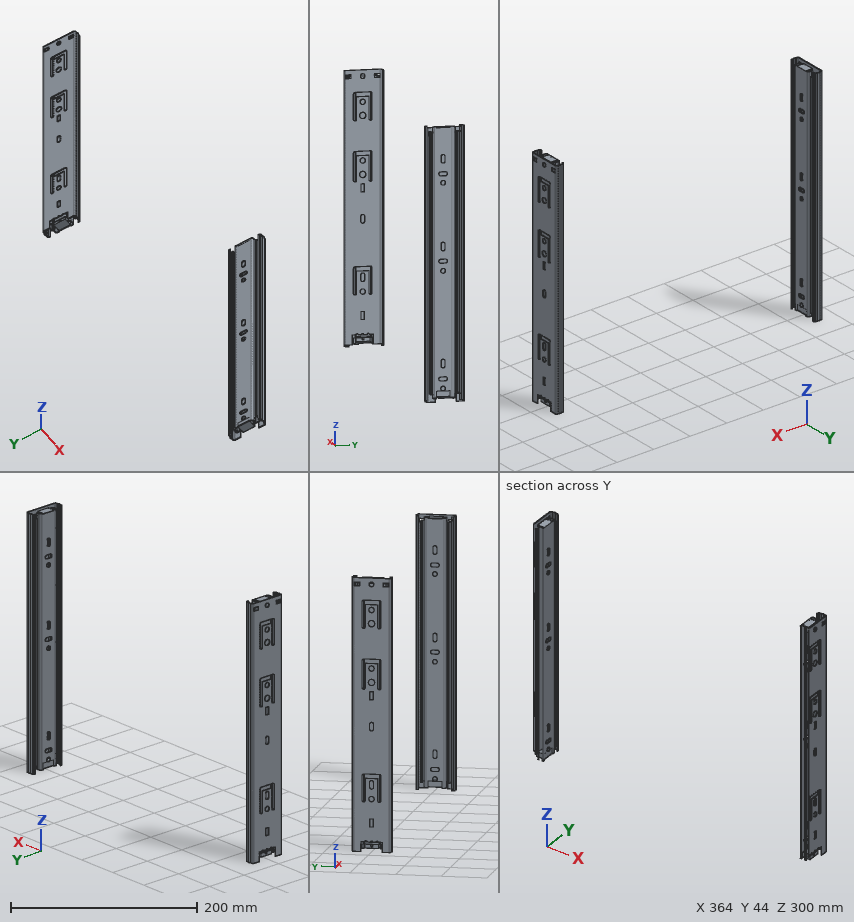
import cadquery as cq
import math


PAIR_WIDTH = 364.0
SLIDE_LENGTH = 300.0
SLIDE_HEIGHT = 44.0
SLIDE_DEPTH = 12.7
SHEET = 1.2
TOP = SLIDE_LENGTH / 2
BOTTOM = -TOP

ARC_MIDDLE = 1 - math.sqrt(0.5)

RACE_RISE = 0.7
OUTER_ARM_Y = SLIDE_HEIGHT / 2 - RACE_RISE
OUTER_CORNER_RADIUS = 2.0
RACE_START, RACE_END = 3.5, 7.0
OUTER_LIP_DEPTH = 11.3
LIP_CHAMFER = 1.5
LIP_HEIGHT = 3.3
LIP_END_Y = OUTER_ARM_Y - LIP_HEIGHT
LIP_TAPER = 0.7

TONGUE_CUT_WIDTH = 20.7
TONGUE_WIDTH = 14.0
TONGUE_TOP_GAP = 4.7
TONGUE_CORNER_RADIUS = 2.2
LEG_ROUNDING = 0.48
TONGUE_HOLE = 6.0
PEG_HOLE = 7.0
SCREW_HOLE = 5.0
SCREW_HOLE_Z = 143.0
OBROUND_WIDTH = 4.5
OBROUND_LENGTH = 9.5
UPRIGHT, CROSSWISE = 90, 0
WINDOW_WIDTH, WINDOW_LENGTH = 3.5, 8.7
WINDOW_HEIGHTS = (21.0, -118.3)
MID_OBROUND_Z = -12.7
UPPER_TONGUE = (125.5, 94.5, 115.0, 100.0)
MIDDLE_TONGUE = (61.0, 28.0, 51.0, 35.5)
LOWER_TONGUE = (-64.8, -95.5, -76.5, -92.0)
SIDE_SLOT_Y = 16.0
SIDE_SLOT_WIDTH, SIDE_SLOT_LENGTH = 6.2, 4.0
END_NOTCH_WIDTH = 23.3
END_NOTCH_TOP = -139.0
SCALLOP_RADIUS = 1.0
SCALLOP_SPACING = 6.2

MID_BACK = 2.0
MID_ARM_Y = 16.5
MID_CORNER_RADIUS = 1.0
MID_LIP_DEPTH = 11.3
MID_LIP_END_Y = 14.2
JOG_INNER_Y, JOG_OUTER_Y = 8.0, 9.0
MID_TOP = 143.8
MID_BOTTOM = -142.0

INNER_ARM_Y = 12.0
INNER_CORNER_RADIUS = 2.2
INNER_ARM_BACK = 6.2
INNER_TIP_BACK = 5.0
INNER_TIP_Y = 9.0
INNER_TOP = 148.5
INNER_BOTTOM = -147.5
TAB_BACK = 3.45
TAB_WIDTH = 15.3
INNER_NOTCH_LENGTH = 1.0
INNER_HOLE = 5.0
HOLE_GROUPS = ((113.2, 97.0, 87.0), (17.5, 1.5, -9.0), (-110.3, -127.0, -137.5))

BLOCK_WIDTH = 15.3
BLOCK_TOP = -140.0
BLOCK_BOTTOM = -146.5
LATCH_HOLE = 2.2
LATCH_HOLE_Z = -143.5


def extruded_section(half_outline, bottom, top):
    """Mirror an open half outline, which starts and ends on Y = 0, and extrude it."""
    return half_outline.mirrorX().extrude(top - bottom)


def section_plane(bottom):
    return cq.Workplane("XY", origin=(-PAIR_WIDTH / 2, 0, bottom))


def web_plane(depth):
    """Plane facing +X on the back face of a web: local x is Y and local y is Z."""
    return cq.Workplane("YZ", origin=(-PAIR_WIDTH / 2 + depth, 0, 0))


def round_hole(depth, z, diameter):
    return web_plane(depth).center(0, z).circle(diameter / 2).extrude(SHEET)


def obround(depth, z, angle):
    return web_plane(depth).center(0, z).slot2D(OBROUND_LENGTH, OBROUND_WIDTH, angle).extrude(SHEET)


def window(depth, y, z, width, length):
    return web_plane(depth).center(y, z).rect(width, length).extrude(SHEET)


def tongue_cut(top, bottom):
    """Upside-down U-shaped cut that leaves a tongue joined to the web at its lower end."""
    length = top - bottom
    leg_width = (TONGUE_CUT_WIDTH - TONGUE_WIDTH) / 2
    cut = window(0, 0, (top + bottom) / 2, TONGUE_CUT_WIDTH, length)
    cut = cut.edges("|X and >Z").fillet(TONGUE_CORNER_RADIUS)
    tongue_length = length - TONGUE_TOP_GAP
    cut = cut.cut(window(0, 0, bottom + tongue_length / 2, TONGUE_WIDTH, tongue_length))
    return cut.edges("|X and <Z").fillet(leg_width * LEG_ROUNDING)


def end_notch():
    notch = window(0, 0, (END_NOTCH_TOP + BOTTOM) / 2, END_NOTCH_WIDTH, END_NOTCH_TOP - BOTTOM)
    scallops = (
        web_plane(0)
        .pushPoints([(step * SCALLOP_SPACING, END_NOTCH_TOP) for step in (-1, 0, 1)])
        .circle(SCALLOP_RADIUS)
        .extrude(SHEET)
    )
    return notch.union(scallops)


def make_outer_rail():
    arm_inside = OUTER_ARM_Y - SHEET
    race_middle = (RACE_START + RACE_END) / 2
    race_peak = OUTER_ARM_Y + RACE_RISE
    corner_y = OUTER_ARM_Y - OUTER_CORNER_RADIUS
    inner_radius = OUTER_CORNER_RADIUS - SHEET
    outer_mid = OUTER_CORNER_RADIUS * ARC_MIDDLE
    inner_mid = SHEET + inner_radius * ARC_MIDDLE
    lip_inside = OUTER_LIP_DEPTH - SHEET
    half = (
        section_plane(BOTTOM)
        .lineTo(0, corner_y)
        .threePointArc((outer_mid, OUTER_ARM_Y - outer_mid), (OUTER_CORNER_RADIUS, OUTER_ARM_Y))
        .lineTo(RACE_START, OUTER_ARM_Y)
        .threePointArc((race_middle, race_peak), (RACE_END, OUTER_ARM_Y))
        .lineTo(OUTER_LIP_DEPTH - LIP_CHAMFER, OUTER_ARM_Y)
        .lineTo(OUTER_LIP_DEPTH, OUTER_ARM_Y - LIP_CHAMFER)
        .lineTo(OUTER_LIP_DEPTH, LIP_END_Y)
        .lineTo(lip_inside + LIP_TAPER, LIP_END_Y)
        .lineTo(lip_inside, arm_inside)
        .lineTo(RACE_END, arm_inside)
        .threePointArc((race_middle, race_peak - SHEET), (RACE_START, arm_inside))
        .lineTo(OUTER_CORNER_RADIUS, arm_inside)
        .threePointArc((inner_mid, OUTER_ARM_Y - inner_mid), (SHEET, corner_y))
        .lineTo(SHEET, 0)
    )
    rail = extruded_section(half, BOTTOM, TOP)

    for top, bottom, upper_hole_z, lower_hole_z in (UPPER_TONGUE, MIDDLE_TONGUE):
        rail = rail.cut(tongue_cut(top, bottom))
        rail = rail.cut(round_hole(0, upper_hole_z, TONGUE_HOLE))
        rail = rail.cut(round_hole(0, lower_hole_z, PEG_HOLE))

    top, bottom, obround_z, hole_z = LOWER_TONGUE
    rail = rail.cut(tongue_cut(top, bottom))
    rail = rail.cut(obround(0, obround_z, UPRIGHT))
    rail = rail.cut(round_hole(0, hole_z, TONGUE_HOLE))

    rail = rail.cut(round_hole(0, SCREW_HOLE_Z, SCREW_HOLE))
    rail = rail.cut(obround(0, MID_OBROUND_Z, UPRIGHT))
    for z in WINDOW_HEIGHTS:
        rail = rail.cut(window(0, 0, z, WINDOW_WIDTH, WINDOW_LENGTH))
    for y in (-SIDE_SLOT_Y, SIDE_SLOT_Y):
        rail = rail.cut(window(0, y, SCREW_HOLE_Z, SIDE_SLOT_WIDTH, SIDE_SLOT_LENGTH))
    return rail.cut(end_notch())


def make_intermediate_rail():
    front = MID_BACK + SHEET
    arm_inside = MID_ARM_Y - SHEET
    bend = MID_CORNER_RADIUS * ARC_MIDDLE
    corner_y = MID_ARM_Y - MID_CORNER_RADIUS
    half = (
        section_plane(MID_BOTTOM)
        .moveTo(front, 0)
        .lineTo(front, JOG_INNER_Y)
        .lineTo(MID_BACK, JOG_OUTER_Y)
        .lineTo(MID_BACK, corner_y)
        .threePointArc((MID_BACK + bend, MID_ARM_Y - bend), (MID_BACK + MID_CORNER_RADIUS, MID_ARM_Y))
        .lineTo(MID_LIP_DEPTH - MID_CORNER_RADIUS, MID_ARM_Y)
        .threePointArc((MID_LIP_DEPTH - bend, MID_ARM_Y - bend), (MID_LIP_DEPTH, corner_y))
        .lineTo(MID_LIP_DEPTH, MID_LIP_END_Y)
        .lineTo(MID_LIP_DEPTH - SHEET, MID_LIP_END_Y)
        .lineTo(MID_LIP_DEPTH - SHEET, arm_inside)
        .lineTo(front, arm_inside)
        .lineTo(front, JOG_OUTER_Y)
        .lineTo(front + SHEET, JOG_INNER_Y)
        .lineTo(front + SHEET, 0)
    )
    return extruded_section(half, MID_BOTTOM, MID_TOP)


def make_inner_rail():
    web_back = SLIDE_DEPTH - SHEET
    arm_inside = INNER_ARM_Y - SHEET
    corner_depth = SLIDE_DEPTH - INNER_CORNER_RADIUS
    corner_y = INNER_ARM_Y - INNER_CORNER_RADIUS
    outer_bend = INNER_CORNER_RADIUS * ARC_MIDDLE
    inner_bend = (INNER_CORNER_RADIUS - SHEET) * ARC_MIDDLE
    half = (
        section_plane(INNER_BOTTOM)
        .moveTo(SLIDE_DEPTH, 0)
        .lineTo(SLIDE_DEPTH, corner_y)
        .threePointArc((SLIDE_DEPTH - outer_bend, INNER_ARM_Y - outer_bend), (corner_depth, INNER_ARM_Y))
        .lineTo(INNER_ARM_BACK, INNER_ARM_Y)
        .lineTo(INNER_TIP_BACK, INNER_TIP_Y)
        .lineTo(INNER_TIP_BACK + SHEET, INNER_TIP_Y)
        .lineTo(INNER_ARM_BACK + SHEET, arm_inside)
        .lineTo(corner_depth, arm_inside)
        .threePointArc((web_back - inner_bend, arm_inside - inner_bend), (web_back, corner_y))
        .lineTo(web_back, 0)
    )
    rail = extruded_section(half, INNER_BOTTOM, INNER_TOP)
    for upright_z, crosswise_z, round_z in HOLE_GROUPS:
        rail = rail.cut(obround(web_back, upright_z, UPRIGHT))
        rail = rail.cut(obround(web_back, crosswise_z, CROSSWISE))
        rail = rail.cut(round_hole(web_back, round_z, INNER_HOLE))
    notch_z = INNER_BOTTOM + INNER_NOTCH_LENGTH / 2
    rail = rail.cut(window(web_back, 0, notch_z, TAB_WIDTH, INNER_NOTCH_LENGTH))
    end_tab = (
        web_plane(TAB_BACK)
        .center(0, INNER_TOP - SHEET / 2)
        .rect(TAB_WIDTH, SHEET)
        .extrude(SLIDE_DEPTH - TAB_BACK)
    )
    return rail.union(end_tab).clean()


def make_latch_block():
    web_front = MID_BACK + 2 * SHEET
    inner_web_back = SLIDE_DEPTH - SHEET
    block = (
        web_plane(web_front)
        .center(0, (BLOCK_TOP + BLOCK_BOTTOM) / 2)
        .rect(BLOCK_WIDTH, BLOCK_TOP - BLOCK_BOTTOM)
        .extrude(inner_web_back - web_front)
    )
    foot = (
        web_plane(MID_BACK)
        .center(0, (MID_BOTTOM + BLOCK_BOTTOM) / 2)
        .rect(BLOCK_WIDTH, MID_BOTTOM - BLOCK_BOTTOM)
        .extrude(web_front - MID_BACK)
    )
    return block.union(foot).cut(round_hole(MID_BACK, LATCH_HOLE_Z, LATCH_HOLE))


bodies = []
for make_body in (make_outer_rail, make_intermediate_rail, make_inner_rail, make_latch_block):
    left_body = make_body()
    right_body = left_body.mirror("YZ")
    bodies += [left_body.val(), right_body.val()]

result = cq.Compound.makeCompound(bodies)